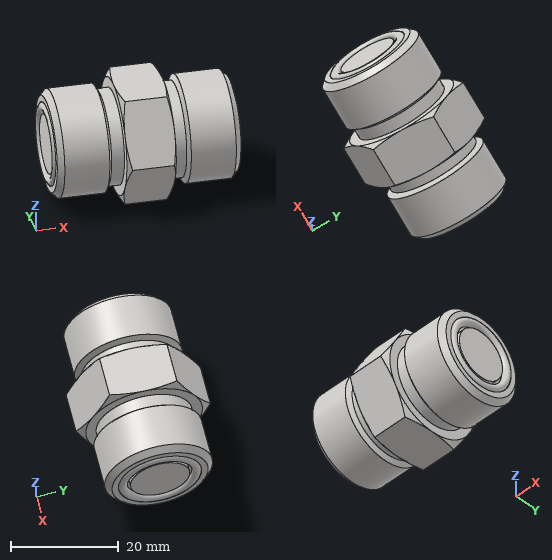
import cadquery as cq
import math

OVERALL_LENGTH = 35.85
RING_SECTION = 1.75
RING_PROTRUSION = 0.45

GROOVE_OUTER_DIAMETER = 15.85
GROOVE_INNER_DIAMETER = 11.3
GROOVE_DEPTH = RING_SECTION - RING_PROTRUSION

BODY_LENGTH = OVERALL_LENGTH - 2 * RING_PROTRUSION
END_DIAMETER = 20.6
NECK_DIAMETER = 18.28
SHOULDER_HEIGHT = (END_DIAMETER - NECK_DIAMETER) / 2
END_CHAMFER = SHOULDER_HEIGHT
NECK_TAPER_LENGTH = 0.6
NECK_LENGTH = 2.45

HEX_ACROSS_FLATS = 22.22
HEX_CORNER_DIAMETER = HEX_ACROSS_FLATS / math.cos(math.radians(30))
HEX_WIDTH = 9.4
HEX_CHAMFER_ANGLE = 22.5

RING_RADIUS = (GROOVE_OUTER_DIAMETER - RING_SECTION) / 2
RING_POSITION = (OVERALL_LENGTH - RING_SECTION) / 2


def make_turned_core():
    """Both round ends and their necks, as one revolved profile about X."""
    face_x = BODY_LENGTH / 2
    neck_x = HEX_WIDTH / 2 + NECK_LENGTH
    end_radius = END_DIAMETER / 2
    neck_radius = NECK_DIAMETER / 2
    right_half = [
        (neck_x, neck_radius),
        (neck_x + NECK_TAPER_LENGTH, end_radius),
        (face_x - END_CHAMFER, end_radius),
        (face_x, end_radius - END_CHAMFER),
        (face_x, 0),
    ]
    left_half = [(-x, radius) for x, radius in reversed(right_half)]
    profile = cq.Workplane("XY").polyline(left_half + right_half).close()
    return profile.revolve(360, (0, 0, 0), (1, 0, 0))


def make_hexagon():
    """Hexagon along X with corners on +Y and -Y, its corners chamfered by cones at both ends."""
    hexagon = (
        cq.Workplane("YZ")
        .polygon(6, HEX_CORNER_DIAMETER)
        .extrude(HEX_WIDTH / 2, both=True)
    )
    flat_radius = HEX_ACROSS_FLATS / 2
    corner_radius = HEX_CORNER_DIAMETER / 2
    chamfer_length = (corner_radius - flat_radius) * math.tan(math.radians(HEX_CHAMFER_ANGLE))
    end_x = HEX_WIDTH / 2
    cone_x = end_x - chamfer_length
    envelope = (
        cq.Workplane("XY")
        .polyline(
            [
                (-end_x, 0),
                (-end_x, flat_radius),
                (-cone_x, corner_radius),
                (cone_x, corner_radius),
                (end_x, flat_radius),
                (end_x, 0),
            ]
        )
        .close()
        .revolve(360, (0, 0, 0), (1, 0, 0))
    )
    return hexagon.intersect(envelope)


def make_face_groove(side):
    """Ring-shaped cutter for the groove in the end face on the given side (+1 or -1) of X."""
    return (
        cq.Workplane("YZ", origin=(side * BODY_LENGTH / 2, 0, 0))
        .circle(GROOVE_OUTER_DIAMETER / 2)
        .circle(GROOVE_INNER_DIAMETER / 2)
        .extrude(-side * GROOVE_DEPTH)
    )


def make_housing():
    housing = make_turned_core().union(make_hexagon())
    for side in (-1, 1):
        housing = housing.cut(make_face_groove(side))
    return housing


def make_ring_seal(side):
    """Ring resting on the groove floor and against the groove's outer wall."""
    return cq.Solid.makeTorus(
        RING_RADIUS,
        RING_SECTION / 2,
        cq.Vector(side * RING_POSITION, 0, 0),
        cq.Vector(1, 0, 0),
    )


housing = make_housing()
ring_seals = [make_ring_seal(side) for side in (-1, 1)]

result = cq.Compound.makeCompound([housing.val(), *ring_seals])